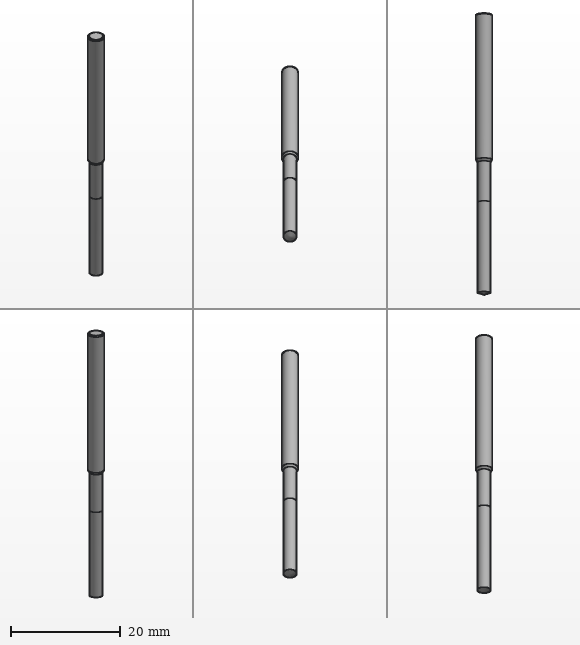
import cadquery as cq
import math

total_length = 52.0
shank_diameter = 3.0
drill_diameter = 2.45
cutter_length = 17.2
shoulder_height = 25.1
shoulder_angle = 30.0
top_chamfer_width = 0.25
top_chamfer_height = 0.2
point_angle = 140.0

shank_radius = shank_diameter / 2
drill_radius = drill_diameter / 2
shoulder_cone_height = (shank_radius - drill_radius) / math.tan(math.radians(shoulder_angle))
neck_top = shoulder_height - shoulder_cone_height
point_height = drill_radius / math.tan(math.radians(point_angle / 2))


def revolve_profile(points):
    """Turn a closed (radius, height) outline about the Z axis."""
    profile = cq.Workplane("XZ").polyline(points).close()
    return profile.revolve(360, (0, 0, 0), (0, 1, 0))


def make_shank():
    """Chamfered shank with a conical shoulder and a neck that meets the cutter."""
    return revolve_profile([
        (0, cutter_length),
        (drill_radius, cutter_length),
        (drill_radius, neck_top),
        (shank_radius, shoulder_height),
        (shank_radius, total_length - top_chamfer_height),
        (shank_radius - top_chamfer_width, total_length),
        (0, total_length),
    ])


def make_cutter():
    """Plain cylindrical cutter with a conical point, butted against the neck."""
    return revolve_profile([
        (0, 0),
        (drill_radius, point_height),
        (drill_radius, cutter_length),
        (0, cutter_length),
    ])


shank = make_shank()
cutter = make_cutter()

result = cq.Compound.makeCompound([shank.val(), cutter.val()])